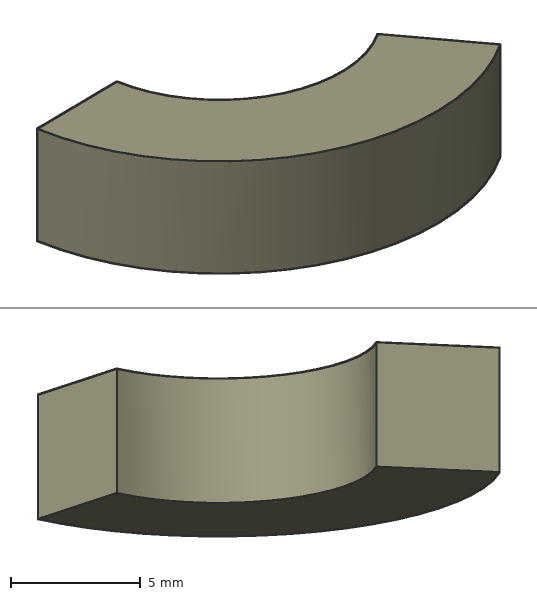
import cadquery as cq
import math

chord = 19.05
inner_radius = 6.2
height = 5.0
half_angle = math.radians(60)

outer_radius = chord / 2 / math.sin(half_angle)


def arc_point(radius, angle):
    """Point on a circle around the segment's centre, angle measured from +X."""
    return (radius * math.cos(angle), radius * math.sin(angle))


result = (
    cq.Workplane("XY")
    .moveTo(*arc_point(outer_radius, -half_angle))
    .threePointArc(arc_point(outer_radius, 0), arc_point(outer_radius, half_angle))
    .lineTo(*arc_point(inner_radius, half_angle))
    .threePointArc(arc_point(inner_radius, 0), arc_point(inner_radius, -half_angle))
    .close()
    .extrude(height)
)